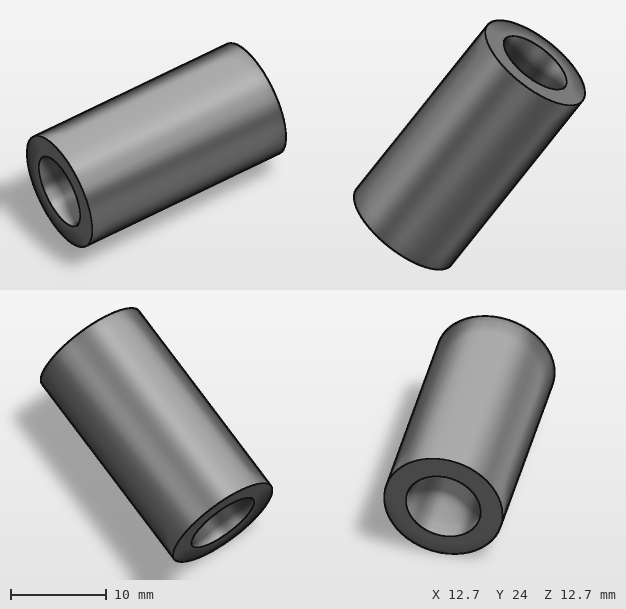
import cadquery as cq

length = 24.0
outer_diameter = 12.7
bore_diameter = 8.0

result = (
    cq.Workplane("XZ", origin=(0, length / 2, 0))
    .circle(outer_diameter / 2)
    .circle(bore_diameter / 2)
    .extrude(length)
)